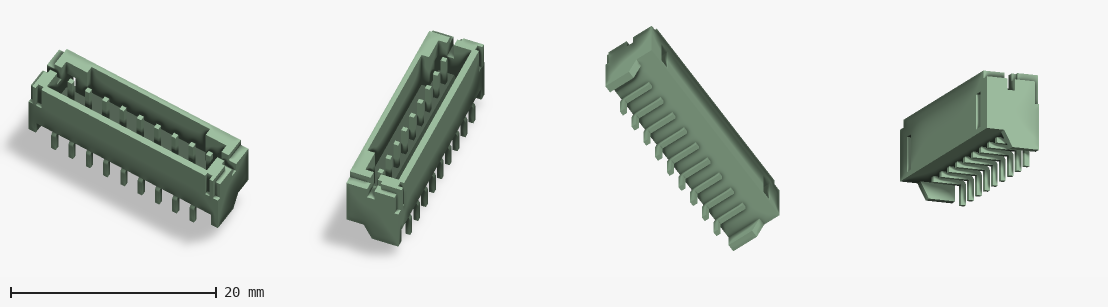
import cadquery as cq


length = 21.9
half = length / 2
housing_width = 5.48
housing_depth = 6.0
foot_depth = 7.65
foot_thickness = 0.8
foot_ramp_top_y = 1.82
foot_ramp_bottom_y = 2.7

shelf_depth = 0.79
rear_shelf_width = 0.88
front_shelf_width = 0.5
front_step_y = 3.42

slot_rear_y = 2.2
slot_front_y = 2.95
slot_depth = 1.93

notch_rear_y = 5.08
notch_width = 1.47
notch_depth = 3.05
rib_depth = 2.9
rib_front_y = 5.6

end_wall = 1.69
cavity_rear_y = 1.31
cavity_front_y = 4.82
recess_rear_y = 0.53
recess_inset = 4.1
rear_floor_depth = 4.27
ramp_drop = 1.2
front_floor_depth = rear_floor_depth + ramp_drop
ramp_top_y = slot_front_y
ramp_bottom_y = 3.57

window_width = 1.07
window_top_depth = slot_depth
window_bottom_depth = front_floor_depth

pin_count = 9
pin_row_span = 16.0
pin_size = 0.5
pin_tip_depth = 1.0
pin_rear_y = 2.17
pin_total_depth = 8.6
pin_front_y = rib_front_y
pin_run_depth = 6.09
pin_bend_radius = 0.5


def block(x_min, x_max, y_rear, y_front, depth_top, depth_bottom):
    """Box given by X limits, distances from the rear face and depths below the rim."""
    size = (x_max - x_min, y_front - y_rear, depth_bottom - depth_top)
    return cq.Workplane("XY").box(*size, centered=False).translate((x_min, -y_front, -depth_bottom))


def side_extrusion(points, x_min, x_max):
    """Extrude a (y, depth) outline along X."""
    outline = [(-y, -depth) for y, depth in points]
    return cq.Workplane("YZ", origin=(x_min, 0, 0)).polyline(outline).close().extrude(x_max - x_min)


def both_ends(solid):
    """Join a left-end solid with its mirror image at the right end."""
    return solid.union(solid.mirror("YZ"))


def make_foot():
    outline = [
        (foot_ramp_top_y, housing_depth),
        (foot_ramp_bottom_y, foot_depth),
        (housing_width, foot_depth),
        (housing_width, housing_depth),
    ]
    return side_extrusion(outline, -half, -half + foot_thickness)


def make_end_cut():
    """Material removed at the left end: shelves, latch slot and corner notch."""
    rear_shelf = block(-half, -half + rear_shelf_width, 0, front_step_y, 0, shelf_depth)
    front_shelf = block(-half, -half + front_shelf_width, front_step_y, housing_width, 0, shelf_depth)
    slot = block(-half, -half + end_wall, slot_rear_y, slot_front_y, 0, slot_depth)
    notch = block(-half, -half + notch_width, notch_rear_y, housing_width, 0, notch_depth)
    return rear_shelf.union(front_shelf).union(slot).union(notch)


def make_rib():
    rib_left = -half + front_shelf_width
    rib_right = -half + rear_shelf_width
    return block(rib_left, rib_right, notch_rear_y, rib_front_y, 0, rib_depth)


def make_cavity():
    """Cavity whose floor drops along a ramp towards the front, with a recess in the rear wall."""
    outline = [
        (cavity_rear_y, 0),
        (cavity_front_y, 0),
        (cavity_front_y, front_floor_depth),
        (ramp_bottom_y, front_floor_depth),
        (ramp_top_y, rear_floor_depth),
        (cavity_rear_y, rear_floor_depth),
    ]
    cavity = side_extrusion(outline, -half + end_wall, half - end_wall)
    recess_half = half - recess_inset
    recess = block(-recess_half, recess_half, recess_rear_y, cavity_rear_y, 0, rear_floor_depth)
    return cavity.union(recess)


def make_window():
    window_x = -half + end_wall
    return block(window_x, window_x + window_width, 0, cavity_rear_y, window_top_depth, window_bottom_depth)


def make_pin(x):
    """Pin that rises in the cavity, runs forwards under the housing and turns down at the front."""
    outline = [
        (pin_rear_y, pin_tip_depth),
        (pin_rear_y + pin_size, pin_tip_depth),
        (pin_rear_y + pin_size, pin_run_depth),
        (pin_front_y, pin_run_depth),
        (pin_front_y, pin_total_depth),
        (pin_front_y - pin_size, pin_total_depth),
        (pin_front_y - pin_size, pin_run_depth + pin_size),
        (pin_rear_y, pin_run_depth + pin_size),
    ]
    pin = side_extrusion(outline, x - pin_size / 2, x + pin_size / 2)
    outer_bend = cq.selectors.NearestToPointSelector((x, -pin_front_y, -pin_run_depth))
    return pin.edges(outer_bend).fillet(pin_bend_radius)


result = block(-half, half, 0, housing_width, 0, housing_depth)
result = result.union(both_ends(make_foot()))
result = result.cut(both_ends(make_end_cut()))
result = result.union(both_ends(make_rib()))
result = result.cut(make_cavity())
result = result.cut(both_ends(make_window()))

pin_pitch = pin_row_span / (pin_count - 1)
for index in range(pin_count):
    result = result.union(make_pin(index * pin_pitch - pin_row_span / 2))